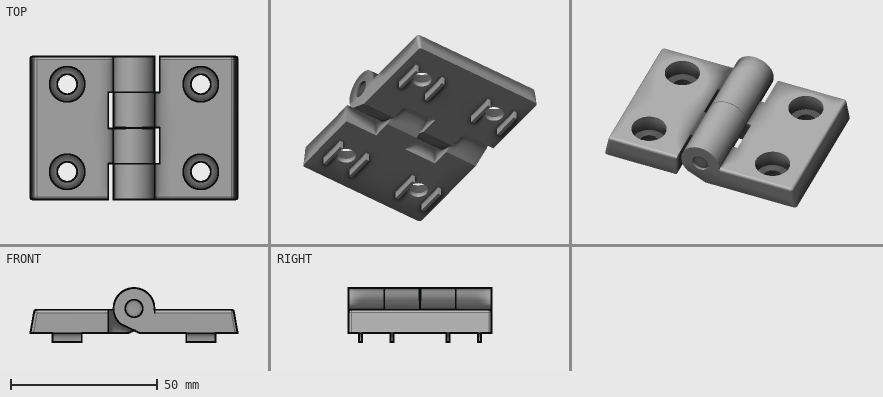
import cadquery as cq
import math

LENGTH = 71.0
WIDTH = 49.0
PLATE_THICKNESS = 8.0
END_DRAFT = 10.0
EDGE_RADIUS = 1.0

KNUCKLE_RADIUS = 7.0
AXIS_HEIGHT = 8.45
UNDERSIDE_SLOPE = 26.0
TOE_X = 1.9
SLOT_EDGE = 8.7
KNUCKLE_SPLIT = 12.2
MIDDLE_GAP = 0.2

PIN_RADIUS = 3.0
PIN_RECESS = 1.0

HOLE_X = 22.85
HOLE_Y = 15.0
HOLE_DIAMETER = 6.75
COUNTERBORE_DIAMETER = 12.1
COUNTERBORE_DEPTH = 6.25
LUG_LENGTH = 10.1
LUG_HEIGHT = 3.05
LUG_THICKNESS = 1.15
LUG_OFFSET = 5.4

HALF_LENGTH = LENGTH / 2
HALF_WIDTH = WIDTH / 2
KNUCKLE_SPANS = [(-HALF_WIDTH, -KNUCKLE_SPLIT), (MIDDLE_GAP / 2, KNUCKLE_SPLIT)]
SLOT_SPANS = [(-KNUCKLE_SPLIT, MIDDLE_GAP / 2), (KNUCKLE_SPLIT, HALF_WIDTH)]


def extrude_along_y(profile, y_start, y_end):
    """Extrude a closed XZ outline between two Y positions."""
    return profile.extrude(y_start - y_end).translate((0, y_start, 0))


def make_plate():
    """Plate from the knuckle's side to the drafted outer end, rounded on its outer edges."""
    end_inset = PLATE_THICKNESS * math.tan(math.radians(END_DRAFT))
    profile = cq.Workplane("XZ").polyline([
        (KNUCKLE_RADIUS, 0),
        (HALF_LENGTH, 0),
        (HALF_LENGTH - end_inset, PLATE_THICKNESS),
        (KNUCKLE_RADIUS, PLATE_THICKNESS),
    ]).close()
    plate = extrude_along_y(profile, -HALF_WIDTH, HALF_WIDTH)
    top_edges = plate.faces(">Z").edges("|X or >X")
    corner_edges = plate.faces(">X").edges("not |Y")
    return plate.newObject(top_edges.vals() + corner_edges.vals()).fillet(EDGE_RADIUS)


def make_knuckle(y_start, y_end):
    """Barrel trimmed below by a sloped flat that runs down to the plate underside."""
    slope = math.radians(UNDERSIDE_SLOPE)
    axis_to_flat = AXIS_HEIGHT * math.cos(slope) - TOE_X * math.sin(slope)
    flat_angle = slope + math.acos(axis_to_flat / KNUCKLE_RADIUS)
    flat_start = (
        -KNUCKLE_RADIUS * math.sin(flat_angle),
        AXIS_HEIGHT - KNUCKLE_RADIUS * math.cos(flat_angle),
    )
    profile = (
        cq.Workplane("XZ")
        .moveTo(KNUCKLE_RADIUS, 0)
        .lineTo(TOE_X, 0)
        .lineTo(*flat_start)
        .threePointArc((0, AXIS_HEIGHT + KNUCKLE_RADIUS), (KNUCKLE_RADIUS, AXIS_HEIGHT))
        .close()
    )
    return extrude_along_y(profile, y_start, y_end)


def make_slot(y_start, y_end):
    """Full-height clearance for a knuckle of the other leaf."""
    return cq.Workplane("XY").box(
        SLOT_EDGE, y_end - y_start, PLATE_THICKNESS, centered=False
    ).translate((0, y_start, 0))


def make_pin(half_length):
    """Cylinder on the hinge axis, centred on Y."""
    return (
        cq.Workplane("XZ")
        .center(0, AXIS_HEIGHT)
        .circle(PIN_RADIUS)
        .extrude(half_length, both=True)
    )


def make_screw_hole(hole_y):
    """Counterbored through hole, as the solid to be removed."""
    plate_top = cq.Workplane("XY", origin=(HOLE_X, hole_y, PLATE_THICKNESS))
    bore = plate_top.circle(HOLE_DIAMETER / 2).extrude(-PLATE_THICKNESS)
    counterbore = plate_top.circle(COUNTERBORE_DIAMETER / 2).extrude(-COUNTERBORE_DEPTH)
    return bore.union(counterbore)


def make_lug(lug_y):
    """Locating lug below the plate, long side along X."""
    return (
        cq.Workplane("XY", origin=(HOLE_X, lug_y, 0))
        .rect(LUG_LENGTH, LUG_THICKNESS)
        .extrude(-LUG_HEIGHT)
    )


def make_leaf():
    """Leaf on the +X side of the hinge axis."""
    leaf = make_plate()
    for span in SLOT_SPANS:
        leaf = leaf.cut(make_slot(*span))
    for span in KNUCKLE_SPANS:
        leaf = leaf.union(make_knuckle(*span))
    leaf = leaf.cut(make_pin(HALF_WIDTH))

    for hole_y in (-HOLE_Y, HOLE_Y):
        leaf = leaf.cut(make_screw_hole(hole_y))
        for side in (-1, 1):
            leaf = leaf.union(make_lug(hole_y + side * LUG_OFFSET))
    return leaf


leaves = []
for turn in (0, 180):
    leaves.append(make_leaf().rotate((0, 0, 0), (0, 0, 1), turn))
pin = make_pin(HALF_WIDTH - PIN_RECESS)

result = cq.Compound.makeCompound([*[leaf.val() for leaf in leaves], pin.val()])